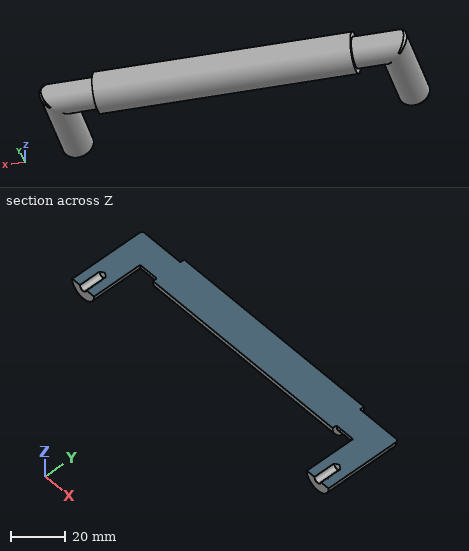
import cadquery as cq
import math

overall_length = 140.0
overall_depth = 37.0

rod_diameter = 12.0
corner_bevel = 1.0

sleeve_diameter = 15.8
sleeve_length = 98.3

hole_diameter = 3.4
hole_depth = 9.8
drill_tip_angle = 118.0

rod_radius = rod_diameter / 2
leg_x = overall_length / 2 - rod_radius
foot_y = sleeve_diameter / 2 - overall_depth


def make_rod():
    """Round rod with two mitred corners, still sharp."""
    path = cq.Workplane("XY").polyline(
        [(-leg_x, foot_y), (-leg_x, 0), (leg_x, 0), (leg_x, foot_y)]
    )
    section = cq.Workplane("XZ", origin=(-leg_x, foot_y, 0)).circle(rod_radius)
    return section.sweep(path, transition="right")


def make_corner_bevel(side):
    """Waste outside a mitre: an elliptical face, widest at the tip and vanishing at the crown.

    The side is -1 for the left corner and 1 for the right one.
    """
    plane = cq.Plane(origin=(side * leg_x, 0, 0), xDir=(side, 1, 0), normal=(-side, 1, 0))
    tip_reach = (rod_diameter - corner_bevel) / math.sqrt(2)
    kept = cq.Workplane(plane).ellipse(tip_reach, rod_radius).extrude(rod_diameter, both=True)
    outer_half = (
        cq.Workplane(plane)
        .center(rod_radius, 0)
        .rect(rod_diameter, 2 * rod_diameter)
        .extrude(rod_diameter, both=True)
    )
    return outer_half.cut(kept)


def make_sleeve():
    return cq.Workplane("YZ").circle(sleeve_diameter / 2).extrude(sleeve_length / 2, both=True)


def make_fixing_hole(x):
    """Drilled hole with a conical bottom, running in from the foot at x."""
    hole_radius = hole_diameter / 2
    tip_depth = hole_radius / math.tan(math.radians(drill_tip_angle / 2))
    half_profile = (
        cq.Workplane("XY", origin=(x, foot_y, 0))
        .lineTo(hole_radius, 0)
        .lineTo(hole_radius, hole_depth)
        .lineTo(0, hole_depth + tip_depth)
        .close()
    )
    return half_profile.revolve(360, (0, 0), (0, 1))


rod = make_rod()
for corner_side in (-1, 1):
    rod = rod.cut(make_corner_bevel(corner_side))

result = rod.union(make_sleeve())
for hole_x in (-leg_x, leg_x):
    result = result.cut(make_fixing_hole(hole_x))